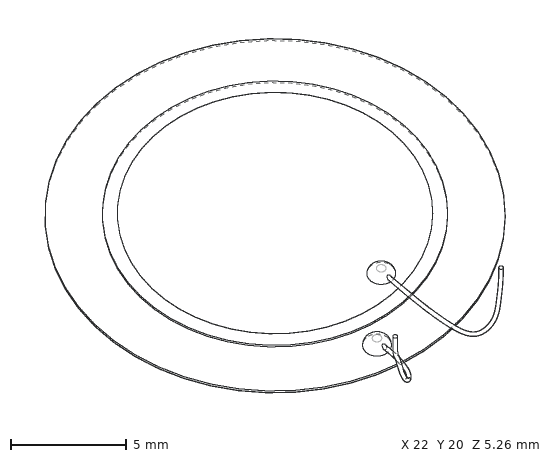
import cadquery as cq

disc_diameter = 20.0
disc_thickness = 0.13
ceramic_diameter = 15.0
ceramic_thickness = 0.1
electrode_diameter = 13.7
electrode_thickness = 0.01

bead_diameter = 1.25
bead_flat_diameter = 0.42
bead_shoulder_diameter = 1.08
bead_shoulder_ratio = 0.6
bead_top = 0.6

wire_diameter = 0.203
wire_start_height = 0.45
wire_end_x = 22.02 - disc_diameter / 2 - wire_diameter / 2
wire_end_height = 5.26
start_direction = (1, 0, 0)
end_direction = (0, 0, 1)

ceramic_top = disc_thickness + ceramic_thickness
electrode_top = ceramic_top + electrode_thickness


def make_transducer():
    """Stack the ceramic and the electrode on the metal disc."""
    return (
        cq.Workplane("XY")
        .circle(disc_diameter / 2)
        .extrude(disc_thickness)
        .faces(">Z").workplane()
        .circle(ceramic_diameter / 2)
        .extrude(ceramic_thickness)
        .faces(">Z").workplane()
        .circle(electrode_diameter / 2)
        .extrude(electrode_thickness)
    )


def make_bead(x, y, base_height):
    """Revolve a flat-topped dome standing on the given surface height."""
    height = bead_top - base_height
    return (
        cq.Workplane("XZ")
        .lineTo(bead_diameter / 2, 0)
        .threePointArc(
            (bead_shoulder_diameter / 2, height * bead_shoulder_ratio),
            (bead_flat_diameter / 2, height),
        )
        .lineTo(0, height)
        .close()
        .revolve(360, (0, 0, 0), (0, 1, 0))
        .translate((x, y, base_height))
    )


def make_wire(x, y, bend_points, end_y):
    """Sweep a round wire from inside the bead, out past the disc and upward."""
    start = (x, y, wire_start_height)
    end = (wire_end_x, end_y, wire_end_height)
    path = cq.Workplane("XY").spline(
        [start, *bend_points, end], tangents=[start_direction, end_direction]
    )
    return (
        cq.Workplane("YZ", origin=start)
        .circle(wire_diameter / 2)
        .sweep(path)
    )


def make_lead(x, y, base_height, bend_points, end_y):
    """Join one wire to its solder bead."""
    bead = make_bead(x, y, base_height)
    return bead.union(make_wire(x, y, bend_points, end_y))


lead_layouts = [
    (5.6, 1.3, electrode_top,
     [(8.1, 1.37, 0.46), (9.86, 1.52, 0.53), (11.27, 1.9, 0.85), (11.78, 2.4, 1.76), (11.9, 2.65, 3.08)], 2.75),
    (8.5, -1.4, disc_thickness,
     [(9.86, -1.4, 0.48), (10.8, -1.63, 0.62), (11.63, -2.33, 1.32), (11.85, -2.82, 2.35), (11.9, -3.15, 3.75)],
     -3.28),
]

transducer = make_transducer()
leads = [make_lead(*layout) for layout in lead_layouts]

result = cq.Compound.makeCompound([transducer.val(), *[lead.solids().val() for lead in leads]])